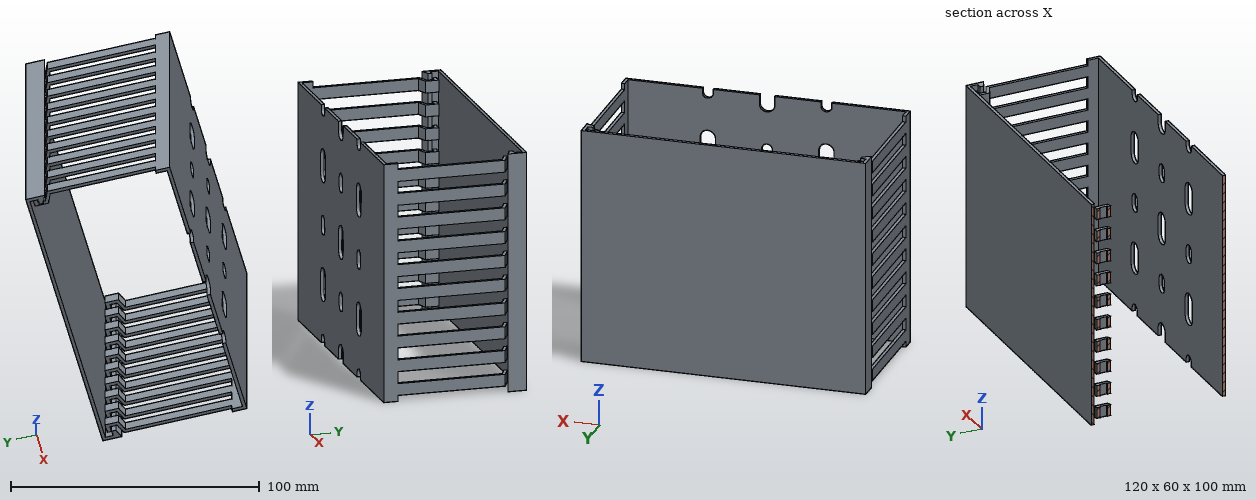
import cadquery as cq

width = 120.0
height = 60.0
length = width * 5 / 6
half_width = width / 2
wall = 1.5

solid_side_height = 6.0
finger_count = 10
finger_pitch = length / finger_count
finger_width = finger_pitch / 2

slope_start_depth = 9.0
slope_end_depth = 7.1
inner_slope_start_depth = 9.8
inner_slope_end_depth = 8.0
leg_inset = 4.2
hook_tip_inset = 1.9
hook_top_depth = 2.4
hook_underside_depth = 4.1

skirt_depth = 7.9
lug_inset = 3.6
lug_top_depth = 4.7
lug_tip_depth = 6.4

slot_pitch = length / 4
large_slot_length = 14.0
large_slot_width = 6.5
small_slot_length = 8.0
small_slot_width = 4.5
slot_columns = (-1, 0, 1)
slot_rows = (-2, -1, 0, 1, 2)


def extrude_profile(points, thickness, center_z=0.0):
    """Extrude a closed XY profile along Z, centred on center_z."""
    plane = cq.Workplane("XY", origin=(0, 0, center_z))
    return plane.polyline(points).close().extrude(thickness / 2, both=True)


def mirrored_profile(left_points):
    """Complete a left-hand outline with its mirror image across X = 0."""
    return left_points + [(-x, y) for x, y in reversed(left_points)]


def section_point(inset, depth):
    """Point on the left side, given its inset from the side and depth below the cover."""
    return (-half_width + inset, height - depth)


def make_trough():
    """Floor and low sides, full length."""
    outline = [
        (-half_width, 0),
        (-half_width, solid_side_height),
        (-half_width + wall, solid_side_height),
        (-half_width + wall, wall),
    ]
    return extrude_profile(mirrored_profile(outline), length)


def make_finger(center_z):
    """One finger of the left side, with its hooked end."""
    outline = [
        (-half_width, 0),
        section_point(0, slope_start_depth),
        section_point(leg_inset, slope_end_depth),
        section_point(leg_inset, hook_underside_depth),
        section_point(hook_tip_inset, hook_underside_depth),
        section_point(hook_tip_inset, hook_top_depth),
        section_point(leg_inset + wall, hook_top_depth),
        section_point(leg_inset + wall, inner_slope_end_depth),
        section_point(wall, inner_slope_start_depth),
        (-half_width + wall, 0),
    ]
    return extrude_profile(outline, finger_width, center_z)


def make_slot_cutter(column, row):
    """Round-ended slot through the floor; the two sizes alternate."""
    is_large = (column + row) % 2 == 0
    slot_length = large_slot_length if is_large else small_slot_length
    slot_width = large_slot_width if is_large else small_slot_width
    return (
        cq.Workplane("XZ")
        .center(column * slot_pitch, row * slot_pitch)
        .slot2D(slot_length, slot_width, 90)
        .extrude(-wall)
    )


def make_base():
    base = make_trough()
    for index in range(finger_count):
        center_z = (index - (finger_count - 1) / 2) * finger_pitch
        finger = make_finger(center_z)
        base = base.union(finger).union(finger.mirror("YZ"))
    for column in slot_columns:
        for row in slot_rows:
            base = base.cut(make_slot_cutter(column, row))
    return base


def make_cover():
    outline = [
        section_point(0, 0),
        section_point(0, skirt_depth),
        section_point(lug_inset, lug_tip_depth),
        section_point(lug_inset, lug_top_depth),
        section_point(wall, lug_top_depth),
        section_point(wall, wall),
    ]
    return extrude_profile(mirrored_profile(outline), length)


base = make_base()
cover = make_cover()
result = cq.Compound.makeCompound([base.val(), cover.val()])